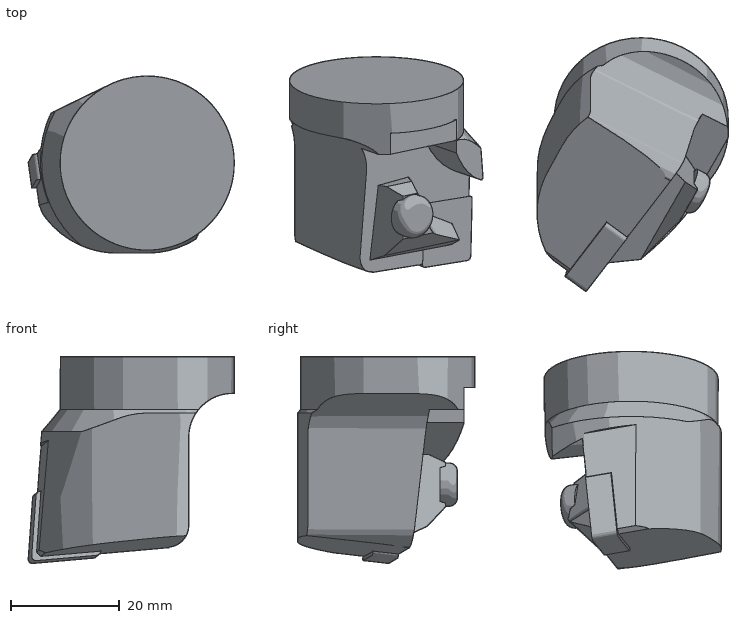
import cadquery as cq
import math


NECK_RADIUS = 16.0
NECK_HEIGHT = 9.68
FLARE_RADIUS = 19.4
FLARE_BOTTOM_Z = -13.77
FLANK_TAPER = 5.0
HEAD_BOTTOM_Z = -45.0
HEAD_BOTTOM_RADIUS = FLARE_RADIUS + (FLARE_BOTTOM_Z - HEAD_BOTTOM_Z) * math.tan(math.radians(FLANK_TAPER))
SLOT_RADIUS = 16.56
SLOT_LENGTH = 5.5

RIGHT_FACE_X = 7.64
RIGHT_COVE_RADIUS = 8.0
RIGHT_COVE_TOP_Z = -6.77
END_CORNER_RADIUS = 4.0
END_CORNER_TOP_Z = -31.0
END_CORNER_SWEEP = math.radians(85)
BACK_FLAT_Y = 14.04
BACK_FLAT_TOP_Z = -5.69
SHOULDER_ANGLE = 26.0

INSERT_SIDE = 12.9
INSERT_CORNER = 80.0
INSERT_THICKNESS = 4.76
INSERT_NOSE_RADIUS = 0.8
INSERT_TIP = (-21.94, 0.0, -38.08)
AXIAL_TILT = 6.5
RADIAL_TILT = 8.0

END_CLEARANCE = 0.7
SIDE_CLEARANCE = 0.84
CORNER_CHAMFER = 1.0
SEAT_FLAT_LENGTH = 21.7

POCKET_ROOF_LEFT = (-19.6, -17.2)
POCKET_ROOF_LEFT_BEND = (-18.8, -18.6)
POCKET_ROOF_VALLEY = (-17.1, -19.9)
POCKET_ROOF_RIGHT_BEND = (-12.6, -17.4)
POCKET_ROOF_RIGHT = (-7.7, -12.1)

CLAMP_TOP_Y = 10.6
CLAMP_TOP_Z = -18.0
CLAMP_NOSE_Z = -33.8
CLAMP_RIGHT_X = 7.5
CLAMP_TAPER = 25.0
CLAMP_LEFT_SIDE = [(-5, -14), (-9, -24), (-17.5, -29), (-17.5, -36.5)]
CLAMP_NOSE_SLOPE = [(CLAMP_TOP_Y, -27.6), (7.2, -31.2), (1.5, CLAMP_NOSE_Z)]
ROOT_DEPTH = 1.0
SCREW_DIAMETER = 8.0
SCREW_HEIGHT = 2.2
SCREW_EDGE = 1.6
SCREW_X = 0.0
SCREW_Z = -23.5

REACH = 60.0


def in_xz(points, y_start, y_end):
    """Prism with an outline of (x, z) points, from y_start to y_end."""
    return cq.Workplane("XZ", origin=(0, y_start, 0)).polyline(points).close().extrude(y_start - y_end)


def place(tool):
    """Move a solid from the insert frame to its place on the head."""
    tilted = tool.rotate((0, 0, 0), (1, 0, 0), -AXIAL_TILT).rotate((0, 0, 0), (0, 0, 1), RADIAL_TILT)
    return tilted.translate(INSERT_TIP)


def along_edges(side, end):
    """Point of the insert frame at the given distances along the side and end cutting edges."""
    lean = math.radians((90 - INSERT_CORNER) / 2)
    x = side * math.sin(lean) + end * math.cos(lean)
    z = side * math.cos(lean) + end * math.sin(lean)
    return (x, z)


def make_insert():
    corners = [along_edges(0, 0), along_edges(0, INSERT_SIDE),
               along_edges(INSERT_SIDE, INSERT_SIDE), along_edges(INSERT_SIDE, 0)]
    plate = in_xz(corners, 0, -INSERT_THICKNESS)
    return place(plate.edges("|Y").fillet(INSERT_NOSE_RADIUS))


def make_head_blank():
    half_section = [
        (0, 0), (NECK_RADIUS, 0), (NECK_RADIUS, -NECK_HEIGHT), (FLARE_RADIUS, FLARE_BOTTOM_Z),
        (HEAD_BOTTOM_RADIUS, HEAD_BOTTOM_Z), (0, HEAD_BOTTOM_Z),
    ]
    turned = cq.Workplane("XZ").polyline(half_section).close().revolve(360, (0, 0), (0, 1))
    slot = (cq.Workplane("XY").center(-SLOT_LENGTH / 2, 0)
            .slot2D(SLOT_LENGTH + 2 * SLOT_RADIUS, 2 * SLOT_RADIUS).extrude(HEAD_BOTTOM_Z))
    return turned.intersect(slot)


def end_corner_point(angle):
    """Point (x, z) of the arc between the right face and the end, the angle counted from the right face."""
    x = RIGHT_FACE_X - END_CORNER_RADIUS * (1 - math.cos(angle))
    return (x, END_CORNER_TOP_Z - END_CORNER_RADIUS * math.sin(angle))


def make_right_relief():
    """Cove under the neck, the flat right face and the rounded corner at the end, as one profile."""
    cove_z = RIGHT_COVE_TOP_Z - RIGHT_COVE_RADIUS
    corner_end = end_corner_point(END_CORNER_SWEEP)
    corner_middle = end_corner_point(END_CORNER_SWEEP / 2)
    middle = RIGHT_COVE_RADIUS * (1 - math.sqrt(0.5))
    return (cq.Workplane("XZ", origin=(0, REACH, 0))
            .moveTo(*corner_end).threePointArc(corner_middle, (RIGHT_FACE_X, END_CORNER_TOP_Z))
            .lineTo(RIGHT_FACE_X, cove_z)
            .threePointArc((RIGHT_FACE_X + middle, RIGHT_COVE_TOP_Z - middle),
                           (RIGHT_FACE_X + RIGHT_COVE_RADIUS, RIGHT_COVE_TOP_Z))
            .lineTo(REACH, RIGHT_COVE_TOP_Z).lineTo(REACH, -REACH)
            .lineTo(corner_end[0], -REACH).close().extrude(2 * REACH))


def make_end_relief():
    """Everything below the sloping end face and its chamfer at the cutting corner."""
    inset = END_CLEARANCE / math.sin(math.radians(INSERT_CORNER))
    outline = [
        along_edges(inset + REACH, inset + CORNER_CHAMFER - REACH),
        along_edges(inset, inset + CORNER_CHAMFER),
        along_edges(inset, inset + REACH),
        along_edges(inset - REACH, inset + REACH),
        along_edges(inset - REACH, inset + CORNER_CHAMFER - REACH),
    ]
    return place(in_xz(outline, REACH, -REACH))


def make_side_flat():
    """Flat behind the insert, parallel to its side flank."""
    inset = SIDE_CLEARANCE / math.sin(math.radians(INSERT_CORNER))
    foot = along_edges(-SEAT_FLAT_LENGTH, inset)
    top = along_edges(SEAT_FLAT_LENGTH, inset)
    outline = [foot, top, (-REACH, top[1]), (-REACH, foot[1])]
    return place(in_xz(outline, REACH, -REACH))


def make_shoulder_relief():
    slab = cq.Workplane("XY").box(2 * REACH, REACH, REACH, centered=(True, False, True))
    slab = slab.translate((0, NECK_RADIUS, -NECK_HEIGHT - REACH / 2))
    return slab.rotate((0, 0, 0), (0, 0, 1), SHOULDER_ANGLE)


def make_back_relief():
    slab = cq.Workplane("XY").box(2 * REACH, REACH, REACH, centered=(True, False, False))
    return slab.translate((0, BACK_FLAT_Y, BACK_FLAT_TOP_Z - REACH))


def make_front_of_rake():
    """Half space in front of the plane of the rake face."""
    block = cq.Workplane("XY").box(2 * REACH, REACH, 2 * REACH, centered=(True, False, True))
    return place(block)


def make_chip_pocket():
    pocket = (cq.Workplane("XZ", origin=(0, REACH, 0))
              .moveTo(-REACH, POCKET_ROOF_LEFT[1]).lineTo(*POCKET_ROOF_LEFT)
              .threePointArc(POCKET_ROOF_LEFT_BEND, POCKET_ROOF_VALLEY)
              .threePointArc(POCKET_ROOF_RIGHT_BEND, POCKET_ROOF_RIGHT)
              .lineTo(POCKET_ROOF_RIGHT[0], -NECK_HEIGHT).lineTo(REACH, -NECK_HEIGHT)
              .lineTo(REACH, -REACH).lineTo(-REACH, -REACH).close().extrude(2 * REACH))
    return pocket.intersect(make_front_of_rake())


def make_clamp():
    """Bar with sloping nose and tapered sides, topped by the screw head, down to the rake face."""
    side_outline = [(0, CLAMP_TOP_Z), (CLAMP_TOP_Y, CLAMP_TOP_Z), *CLAMP_NOSE_SLOPE, (0, CLAMP_NOSE_Z)]
    side = cq.Workplane("YZ", origin=(-REACH, 0, 0)).polyline(side_outline).close().extrude(2 * REACH)
    left_top_z = CLAMP_LEFT_SIDE[0][1]
    left_bottom_z = CLAMP_LEFT_SIDE[-1][1]
    plan = [*CLAMP_LEFT_SIDE, (CLAMP_RIGHT_X, left_bottom_z), (CLAMP_RIGHT_X, left_top_z)]
    bar = (cq.Workplane("XZ", origin=(0, -ROOT_DEPTH, 0)).polyline(plan).close()
           .extrude(-CLAMP_TOP_Y - ROOT_DEPTH, taper=CLAMP_TAPER).intersect(side))
    screw = (cq.Workplane("XZ", origin=(SCREW_X, CLAMP_TOP_Y - ROOT_DEPTH, SCREW_Z))
             .circle(SCREW_DIAMETER / 2).extrude(-SCREW_HEIGHT - ROOT_DEPTH)
             .faces(">Y").edges().fillet(SCREW_EDGE))
    return bar.union(screw).intersect(make_front_of_rake())


def make_holder(insert):
    blank = make_head_blank().cut(make_right_relief()).cut(make_end_relief())
    blank = blank.cut(make_shoulder_relief()).cut(make_back_relief())
    blank = blank.cut(make_side_flat()).cut(make_chip_pocket())
    return blank.union(make_clamp()).cut(insert)


insert = make_insert()
holder = make_holder(insert)
result = cq.Compound.makeCompound([holder.val(), insert.val()])